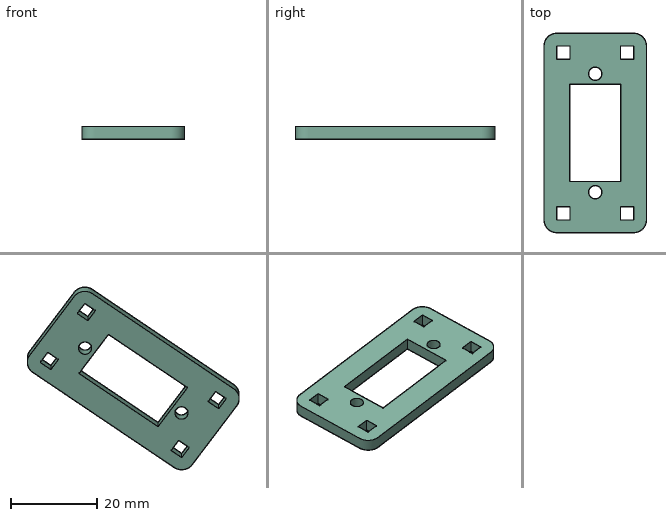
import cadquery as cq

width = 23.8
length = 46.3
thickness = 3.0
corner_radius = 3.0

window_width = 11.75
window_length = 22.5

screw_diameter = 3.0
screw_spacing = 27.45

square_side = 3.0
square_inset = 3.0
square_spacing_x = width - 2 * square_inset - square_side
square_spacing_y = length - 2 * square_inset - square_side

plate = cq.Workplane("XY").box(width, length, thickness).edges("|Z").fillet(corner_radius)

window = cq.Workplane("XY").box(window_width, window_length, thickness)

screw_holes = (
    cq.Workplane("XY", origin=(0, 0, -thickness / 2))
    .rarray(0.45, screw_spacing, 1, 2)
    .circle(screw_diameter / 2)
    .extrude(thickness)
)

square_holes = (
    cq.Workplane("XY")
    .rarray(square_spacing_x, square_spacing_y, 2, 2)
    .box(square_side, square_side, thickness)
)

result = plate.cut(window).cut(screw_holes).cut(square_holes)